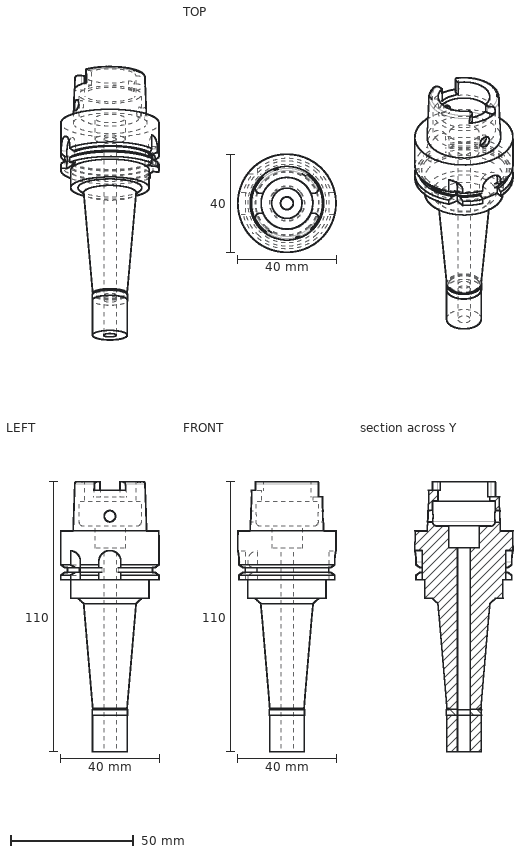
import cadquery as cq
import math

overall_length = 110.0
shank_length = 20.0
flange_width = 20.0
shoulder_height = 7.5
transition_height = 2.1
flange_top = overall_length - shank_length
flange_bottom = flange_top - flange_width
shoulder_bottom = flange_bottom - shoulder_height
neck_top = shoulder_bottom - transition_height
tip_top = 14.8
collar_top = 17.2
neck_bottom = 17.7

flange_diameter = 40.0
shank_base_diameter = 30.0
shank_end_diameter = 28.6
shank_edge_round = 0.9
shoulder_diameter = 32.0
transition_diameter = 26.1
neck_top_diameter = 21.5
neck_bottom_diameter = 14.1
gap_diameter = 12.6

groove_diameter = 34.8
groove_distance = 13.9
groove_top = flange_top - groove_distance
groove_width = 4.2
groove_bevel_height = 1.1
groove_bevel_depth = 1.5

bore_diameter = 21.0
bore_lip_depth = 7.9
undercut_diameter = 25.5
bore_depth = 18.0
undercut_round = 2.0
tube_seat_diameter = 12.3
tube_seat_depth = 8.8
coolant_diameter = 5.1

drive_slot_width = 8.0
drive_slot_round = 2.0
drive_slot_mouth = 12.9
shallow_drive_slot_depth = 3.4
deep_drive_slot_depth = 6.0

cross_hole_diameter = 4.5
cross_hole_rise = 5.9
cross_hole_height = flange_top + cross_hole_rise

gripper_slot_width = 9.0
gripper_slot_height = 12.0
gripper_slot_floor = 17.0
index_slot_floor = 12.0
index_slot_edge = 12.0
index_slot_center = index_slot_edge + gripper_slot_width / 2

collar_diameter = 14.4
tip_diameter = 14.2


def disc(diameter, bottom, top):
    return cq.Workplane("XY").workplane(offset=bottom).circle(diameter / 2).extrude(top - bottom)


def holder_blank():
    """Turned outside shape of the holder, with a stub at its lower end."""
    flange_radius = flange_diameter / 2
    bevel_radius = flange_radius - groove_bevel_depth
    groove_radius = groove_diameter / 2
    groove_bottom = groove_top - groove_width
    outline = [
        (0, collar_top),
        (gap_diameter / 2, collar_top),
        (gap_diameter / 2, neck_bottom),
        (neck_bottom_diameter / 2, neck_bottom),
        (neck_top_diameter / 2, neck_top),
        (transition_diameter / 2, shoulder_bottom),
        (shoulder_diameter / 2, shoulder_bottom),
        (shoulder_diameter / 2, flange_bottom),
        (flange_radius, flange_bottom),
        (flange_radius, groove_bottom),
        (bevel_radius, groove_bottom + groove_bevel_height),
        (groove_radius, groove_bottom + groove_bevel_height),
        (groove_radius, groove_top - groove_bevel_height),
        (bevel_radius, groove_top - groove_bevel_height),
        (flange_radius, groove_top),
        (flange_radius, flange_top),
        (shank_base_diameter / 2, flange_top),
        (shank_end_diameter / 2, overall_length),
        (0, overall_length),
    ]
    blank = cq.Workplane("YZ").polyline(outline).close().revolve(360, (0, 0, 0), (0, 1, 0))
    return blank.faces(">Z").edges().fillet(shank_edge_round)


def holder_cavity():
    """Stepped bore: lip, wider undercut, coolant tube seat and coolant hole."""
    lip_bottom = overall_length - bore_lip_depth
    bore_bottom = overall_length - bore_depth
    seat_bottom = bore_bottom - tube_seat_depth
    cavity = disc(bore_diameter, lip_bottom, overall_length)
    undercut = disc(undercut_diameter, bore_bottom, lip_bottom).faces("<Z").edges().fillet(undercut_round)
    cavity = cavity.union(undercut)
    cavity = cavity.union(disc(tube_seat_diameter, seat_bottom, bore_bottom))
    return cavity.union(disc(coolant_diameter, 0, seat_bottom))


def drive_slot(side, depth):
    """Notch along X with rounded outer corners that run into a flat across the shank."""
    half_width = drive_slot_width / 2
    flared_half_width = half_width + drive_slot_round
    reach = flange_diameter / 2
    flare_start = drive_slot_mouth - drive_slot_round
    bend_x = flare_start + drive_slot_round * math.sqrt(0.5)
    bend_y = flared_half_width - drive_slot_round * math.sqrt(0.5)
    return (
        cq.Workplane("XY")
        .workplane(offset=overall_length - depth)
        .moveTo(0, -half_width)
        .lineTo(side * flare_start, -half_width)
        .threePointArc((side * bend_x, -bend_y), (side * drive_slot_mouth, -flared_half_width))
        .lineTo(side * drive_slot_mouth, -reach)
        .lineTo(side * reach, -reach)
        .lineTo(side * reach, reach)
        .lineTo(side * drive_slot_mouth, reach)
        .lineTo(side * drive_slot_mouth, flared_half_width)
        .threePointArc((side * bend_x, bend_y), (side * flare_start, half_width))
        .lineTo(0, half_width)
        .close()
        .extrude(depth)
    )


def gripper_slot(side, floor, center_y):
    """Round-topped slot, open at the flange bottom, outward from a floor at X = side * floor."""
    radius = gripper_slot_width / 2
    arch_height = gripper_slot_height - radius
    return (
        cq.Workplane("YZ", origin=(side * floor, 0, 0))
        .moveTo(center_y - radius, flange_bottom)
        .lineTo(center_y + radius, flange_bottom)
        .lineTo(center_y + radius, flange_bottom + arch_height)
        .threePointArc(
            (center_y, flange_bottom + gripper_slot_height),
            (center_y - radius, flange_bottom + arch_height),
        )
        .close()
        .extrude(side * flange_diameter / 2)
    )


def make_holder():
    holder = holder_blank().cut(holder_cavity())
    holder = holder.cut(drive_slot(-1, shallow_drive_slot_depth))
    holder = holder.cut(drive_slot(1, deep_drive_slot_depth))
    cross_hole = (
        cq.Workplane("YZ")
        .center(0, cross_hole_height)
        .circle(cross_hole_diameter / 2)
        .extrude(flange_diameter / 2, both=True)
    )
    holder = holder.cut(cross_hole)
    for side in (-1, 1):
        holder = holder.cut(gripper_slot(side, gripper_slot_floor, 0))
    return holder.cut(gripper_slot(-1, index_slot_floor, index_slot_center))


def pierced_disc(diameter, bottom, top):
    return disc(diameter, bottom, top).cut(disc(coolant_diameter, bottom, top))


def make_collar():
    return pierced_disc(collar_diameter, tip_top, collar_top)


def make_tip():
    return pierced_disc(tip_diameter, 0, tip_top)


holder = make_holder()
collar = make_collar()
tip = make_tip()
result = cq.Compound.makeCompound([holder.val(), collar.val(), tip.val()])